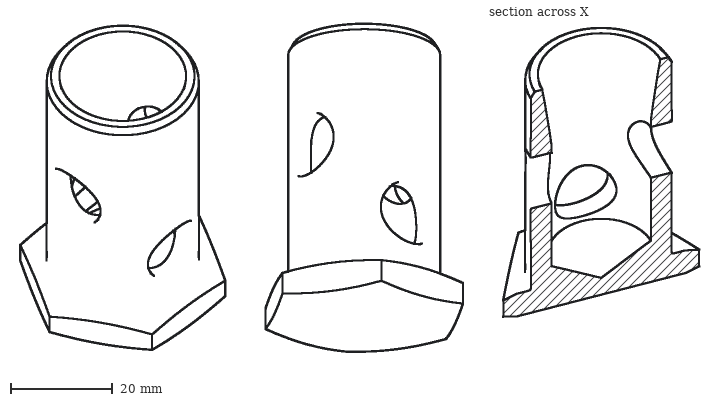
import cadquery as cq
import math

total_height = 57.0
body_diameter = 30.0
body_radius = body_diameter / 2

head_across_flats = 36.0
head_height = 6.0
head_face_diameter = 35.8
head_chamfer_angle = 16.0
head_across_corners = head_across_flats / math.cos(math.radians(30))

neck_fillet = 0.4
rim_chamfer_width = 0.85
rim_chamfer_height = 1.5

mouth_diameter = 24.95
bore_diameter = 21.0
taper_depth = 15.0
bore_floor_height = 10.8
drill_point_angle = 118.0

cross_hole_diameter = 13.0
hole_mouth_fillet = 0.35
lower_hole_height = 18.5
upper_hole_height = 33.5


def revolve_profile(points):
    """Revolve an outline of (radius, height) points about the Z axis."""
    return cq.Workplane("XZ").polyline(points).close().revolve(360, (0, 0, 0), (0, 1, 0))


def make_head():
    """Hexagon with its corners turned off conically at both faces."""
    hexagon = (
        cq.Workplane("XY")
        .polygon(6, head_across_corners)
        .extrude(head_height)
        .rotate((0, 0, 0), (0, 0, 1), 30)
    )
    face_radius = head_face_diameter / 2
    corner_radius = head_across_corners / 2
    corner_drop = (corner_radius - face_radius) * math.tan(math.radians(head_chamfer_angle))
    turned_envelope = revolve_profile([
        (0, 0),
        (face_radius, 0),
        (corner_radius, corner_drop),
        (corner_radius, head_height - corner_drop),
        (face_radius, head_height),
        (0, head_height),
    ])
    return hexagon.intersect(turned_envelope)


def make_body():
    """Round body with a chamfered rim and a small fillet at the head."""
    return (
        cq.Workplane("XZ")
        .lineTo(body_radius + neck_fillet, 0)
        .lineTo(body_radius + neck_fillet, head_height)
        .radiusArc((body_radius, head_height + neck_fillet), neck_fillet)
        .lineTo(body_radius, total_height - rim_chamfer_height)
        .lineTo(body_radius - rim_chamfer_width, total_height)
        .lineTo(0, total_height)
        .close()
        .revolve(360, (0, 0, 0), (0, 1, 0))
    )


def make_bore():
    """Cutter for the blind bore with its tapered mouth and drill point."""
    bore_radius = bore_diameter / 2
    point_depth = bore_radius / math.tan(math.radians(drill_point_angle / 2))
    return revolve_profile([
        (0, bore_floor_height - point_depth),
        (bore_radius, bore_floor_height),
        (bore_radius, total_height - taper_depth),
        (mouth_diameter / 2, total_height),
        (0, total_height),
    ])


def make_cross_hole(height):
    """Cutter along Y for a hole through both walls of the body."""
    return (
        cq.Workplane("XZ")
        .center(0, height)
        .circle(cross_hole_diameter / 2)
        .extrude(body_radius, both=True)
    )


def mouth_selector(height, direction):
    """Select the edge of a cross hole on the body surface, facing the given (x, y) direction."""
    mouth_distance = math.sqrt(body_radius**2 - (cross_hole_diameter / 2) ** 2)
    edge_middle = (body_radius + mouth_distance) / 2
    center = (direction[0] * edge_middle, direction[1] * edge_middle, height)
    return cq.selectors.NearestToPointSelector(center)


upper_hole = make_cross_hole(upper_hole_height)
lower_hole = make_cross_hole(lower_hole_height).rotate((0, 0, 0), (0, 0, 1), 90)

result = make_head().union(make_body()).cut(make_bore()).cut(upper_hole).cut(lower_hole)

hole_mouths = [
    (upper_hole_height, (0, 1)),
    (upper_hole_height, (0, -1)),
    (lower_hole_height, (1, 0)),
    (lower_hole_height, (-1, 0)),
]
for mouth_height, mouth_direction in hole_mouths:
    mouth_edge = mouth_selector(mouth_height, mouth_direction)
    result = result.edges(mouth_edge).fillet(hole_mouth_fillet)